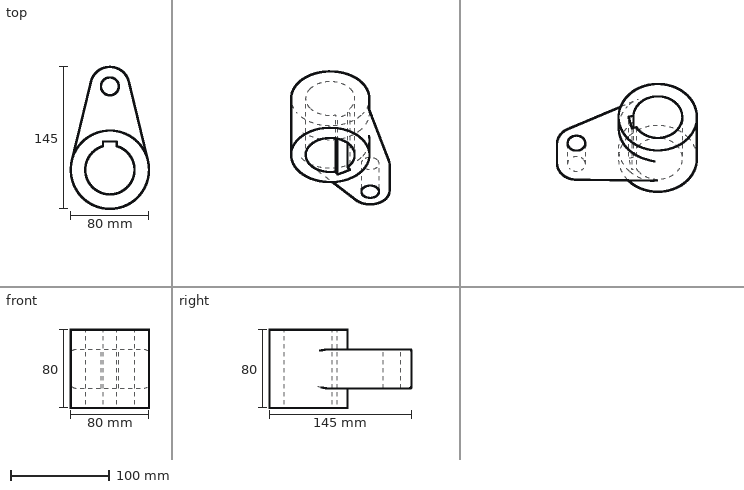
import cadquery as cq
import math

hub_radius = 40.0
hub_height = 80.0
bore_radius = 25.0

key_width = 14.0
key_top = 28.8

arm_length = 85.0
arm_end_radius = 20.0
arm_thickness = 40.0
pin_hole_radius = 9.0
arm_edge_fillet = 2.0

taper_sine = (hub_radius - arm_end_radius) / arm_length
taper_cosine = math.sqrt(1 - taper_sine**2)


def tangent_point(radius, center_y):
    """Point on the +X side where the flank touches a circle centred on the Y axis."""
    return radius * taper_cosine, center_y + radius * taper_sine


def make_hub():
    return cq.Workplane("XY").circle(hub_radius).extrude(hub_height / 2, both=True)


def make_arm():
    root_x, root_y = tangent_point(hub_radius, 0)
    end_x, end_y = tangent_point(arm_end_radius, arm_length)
    arm = (
        cq.Workplane("XY")
        .moveTo(-root_x, root_y)
        .lineTo(root_x, root_y)
        .lineTo(end_x, end_y)
        .threePointArc((0, arm_length + arm_end_radius), (-end_x, end_y))
        .close()
        .extrude(arm_thickness / 2, both=True)
    )
    outer_edges = arm.faces("|Z").edges("not(|X)")
    return outer_edges.fillet(arm_edge_fillet)


def make_bore():
    bore = cq.Workplane("XY").circle(bore_radius).extrude(hub_height / 2, both=True)
    keyway = (
        cq.Workplane("XY")
        .center(0, key_top / 2)
        .rect(key_width, key_top)
        .extrude(hub_height / 2, both=True)
    )
    return bore.union(keyway)


def make_pin_hole():
    return (
        cq.Workplane("XY")
        .center(0, arm_length)
        .circle(pin_hole_radius)
        .extrude(arm_thickness / 2, both=True)
    )


result = make_hub().union(make_arm()).cut(make_bore()).cut(make_pin_hole())